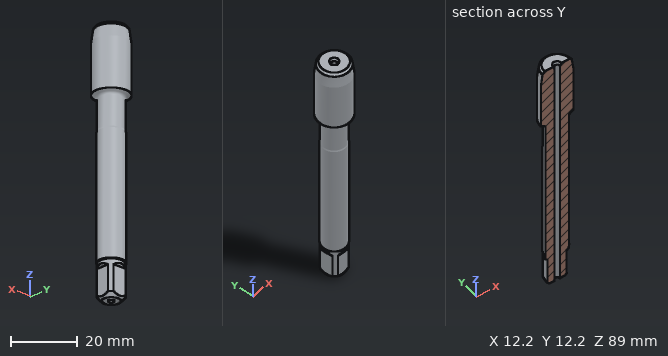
import cadquery as cq
import math

total_length = 89.0

head_radius = 12.2 / 2
head_bottom = 66.9
taper_length = 5.2
taper_top_radius = 5.5
rim_height = 1.0
top_face_radius = 4.7

neck_radius = 8.7 / 2
neck_bottom = 55.2
neck_chamfer_bottom = 54.65
head_cone_angle = math.radians(30)
neck_fillet_tangent = 0.6

shank_radius = 9.0 / 2
shank_bottom = 12.3
drive_radius = 8.7 / 2
drive_top = 12.0
square_width = 7.2
flat_top = 10.15
end_chamfer = 1.4

hole_diameter = 2.0
centre_diameter = 3.0
centre_angle = 60


def make_body():
    """Revolve the stepped tap outline about Z."""
    cone_foot_z = head_bottom - (head_radius - neck_radius) * math.tan(head_cone_angle)
    fillet_bottom = (neck_radius, cone_foot_z - neck_fillet_tangent)
    fillet_top = (
        neck_radius + neck_fillet_tangent * math.cos(head_cone_angle),
        cone_foot_z + neck_fillet_tangent * math.sin(head_cone_angle),
    )
    outline = (
        cq.Workplane("XZ")
        .lineTo(drive_radius - end_chamfer, 0)
        .lineTo(drive_radius, end_chamfer)
        .lineTo(drive_radius, drive_top)
        .lineTo(shank_radius, shank_bottom)
        .lineTo(shank_radius, neck_chamfer_bottom)
        .lineTo(neck_radius, neck_bottom)
        .lineTo(*fillet_bottom)
        .tangentArcPoint(fillet_top, relative=False)
        .lineTo(head_radius, head_bottom)
        .lineTo(head_radius, total_length - taper_length)
        .lineTo(taper_top_radius, total_length - rim_height)
        .lineTo(top_face_radius, total_length)
        .lineTo(0, total_length)
        .close()
    )
    return outline.revolve(360, (0, 0, 0), (0, 1, 0))


def make_flat_cutter():
    """Stock removed for one flat, with a 45 degree run-out at its upper end."""
    half_width = square_width / 2
    outer = head_radius
    return (
        cq.Workplane("XZ")
        .moveTo(half_width, 0)
        .lineTo(outer, 0)
        .lineTo(outer, flat_top + outer - half_width)
        .lineTo(half_width, flat_top)
        .close()
        .extrude(head_radius, both=True)
    )


def cut_square(body):
    for quarter in range(4):
        body = body.cut(make_flat_cutter().rotate((0, 0, 0), (0, 0, 1), 90 * quarter))
    return body


def cut_coolant_hole(body):
    return body.faces(">Z").workplane().cskHole(hole_diameter, centre_diameter, centre_angle)


result = cut_coolant_hole(cut_square(make_body()))